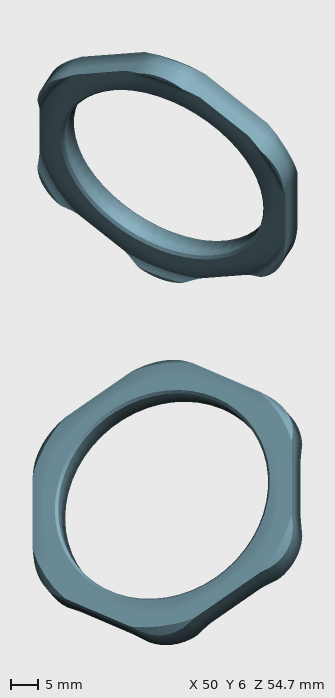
import cadquery as cq
import math

across_flats = 50.0
across_rounded_corners = 54.65
thickness = 6.0
bore_diameter = 40.5
bore_chamfer = 0.5
dish_depth = 1.0
dish_rim_radius = 26.6
back_chamfer = 1.25

corner_radius = across_rounded_corners / 2
bore_radius = bore_diameter / 2
sharp_corner_radius = across_flats / 2 / math.cos(math.radians(30))
corner_fillet = (sharp_corner_radius - corner_radius) / (1 / math.cos(math.radians(30)) - 1)


def revolve_about_y(profile):
    """Revolve a list of (radius, y) points about the Y axis."""
    return cq.Workplane("XY").polyline(profile).close().revolve(360, (0, 0, 0), (0, 1, 0))


def make_hexagon():
    """Hexagonal prism with rounded corners at the top and bottom (+Z and -Z)."""
    corners = []
    for index in range(6):
        angle = math.radians(90 + 60 * index)
        corners.append((sharp_corner_radius * math.cos(angle), sharp_corner_radius * math.sin(angle)))
    prism = cq.Workplane("XZ").polyline(corners).close().extrude(-thickness)
    return prism.edges("|Y").fillet(corner_fillet)


def make_turned_envelope():
    """Turned ring: dished front, bore chamfered at both ends, chamfered back rim."""
    return revolve_about_y([
        (bore_radius + bore_chamfer, thickness),
        (bore_radius, thickness - bore_chamfer),
        (bore_radius, dish_depth + bore_chamfer),
        (bore_radius + bore_chamfer, dish_depth),
        (dish_rim_radius - dish_depth, dish_depth),
        (dish_rim_radius, 0),
        (corner_radius, 0),
        (corner_radius, thickness - back_chamfer),
        (corner_radius - back_chamfer, thickness),
    ])


result = make_hexagon().intersect(make_turned_envelope())